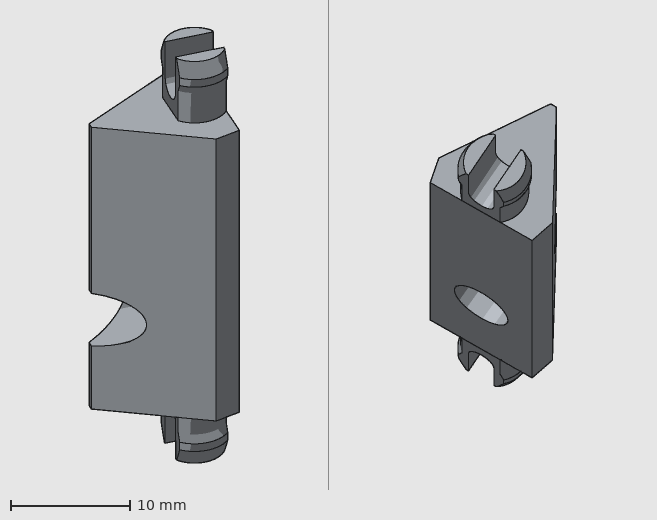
import cadquery as cq

total_height = 40.3
peg_height = 6.0
housing_height = total_height - 2 * peg_height

housing_width = 11.25
housing_depth = 11.5
back_width = 10.08
nose_width = 0.55
shoulder_depth = 2.3

hole_diameter = 5.28
hole_height = 9.0

groove_front = 5.85
groove_width = 1.13
groove_depth = 0.25

peg_thickness = 4.3
shaft_radius = 2.85
barb_radius = 3.1
tip_radius = 2.6
barb_start = 3.0
barb_full = 3.75
barb_end = 4.5
slot_width = 2.5
slot_floor = 1.2


def make_cross_cylinder(radius, start, length):
    """Cylinder along the hole axis, running toward -Y from the start distance off the flat back."""
    axis_z = hole_height - housing_height / 2
    return cq.Workplane("XZ", origin=(0, -start, axis_z)).circle(radius).extrude(length)


def make_housing():
    """Arrow-shaped prism with a grooved round cross hole near its lower end."""
    outline = [
        (-back_width / 2, 0),
        (-housing_width / 2, -shoulder_depth),
        (-nose_width / 2, -housing_depth),
        (nose_width / 2, -housing_depth),
        (housing_width / 2, -shoulder_depth),
        (back_width / 2, 0),
    ]
    body = (
        cq.Workplane("XY", origin=(0, 0, -housing_height / 2))
        .polyline(outline)
        .close()
        .extrude(housing_height)
    )
    hole = make_cross_cylinder(hole_diameter / 2, 0, housing_depth)
    groove_back = groove_front - groove_width
    groove = make_cross_cylinder(hole_diameter / 2 + groove_depth, groove_back, groove_width)
    return body.cut(hole).cut(groove)


def make_peg():
    """Barbed round peg rising from Z = 0, flattened front and back and split by a round-floored slot."""
    profile = [
        (0, 0),
        (shaft_radius, 0),
        (shaft_radius, barb_start),
        (barb_radius, barb_full),
        (barb_radius, barb_end),
        (tip_radius, peg_height),
        (0, peg_height),
    ]
    turned = cq.Workplane("XZ").polyline(profile).close().revolve(360, (0, 0, 0), (0, 1, 0))
    slab = cq.Workplane("XY").box(
        2 * barb_radius, peg_thickness, peg_height, centered=(True, True, False)
    )
    slot_radius = slot_width / 2
    slot_center = slot_floor + slot_radius
    slot = (
        cq.Workplane("XZ", origin=(0, peg_thickness / 2, 0))
        .moveTo(-slot_radius, peg_height)
        .lineTo(-slot_radius, slot_center)
        .threePointArc((0, slot_floor), (slot_radius, slot_center))
        .lineTo(slot_radius, peg_height)
        .close()
        .extrude(peg_thickness)
    )
    return turned.intersect(slab).cut(slot)


housing = make_housing()

peg_turns = (0, 180)
peg_y = -peg_thickness / 2
pegs = []
for turn in peg_turns:
    peg = (
        make_peg()
        .translate((0, peg_y, housing_height / 2))
        .rotate((0, 0, 0), (0, 1, 0), turn)
    )
    pegs.append(peg.solids().val())

result = cq.Compound.makeCompound([housing.solids().val(), *pegs])